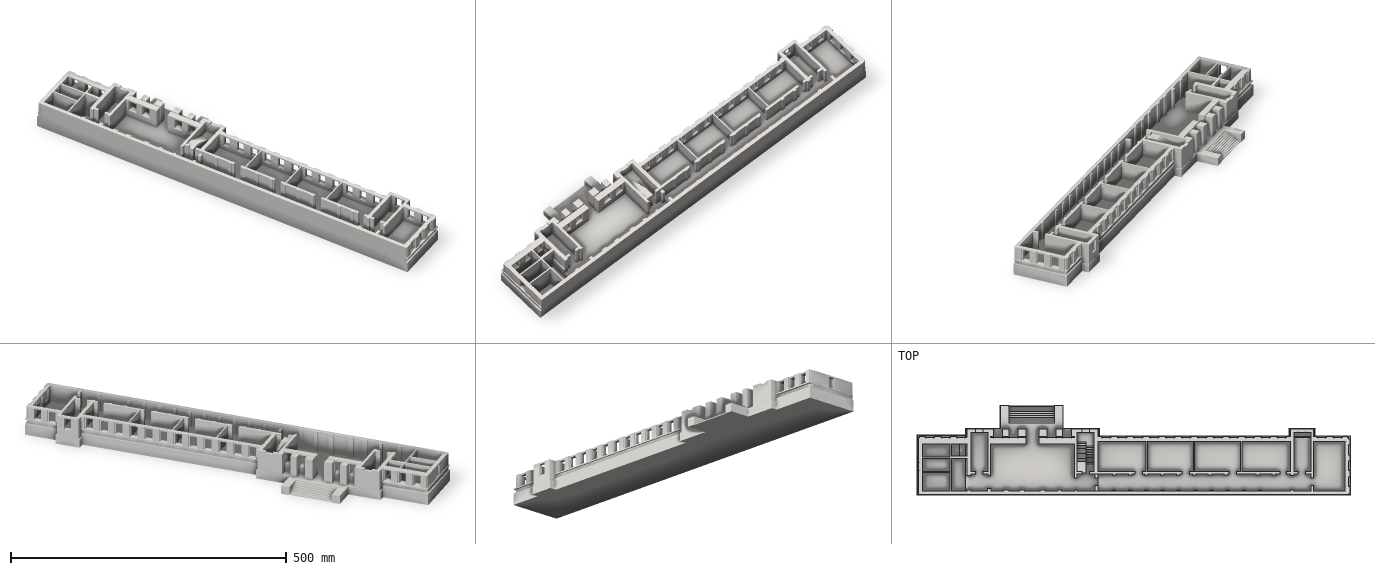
import cadquery as cq


LENGTH = 787.48
DEPTH = 162.8
HEIGHT = 56.5

HALL_FLOOR = 16.2
LEFT_FLOOR = 5.0
PLINTH_TOP = 22.3
RIGHT_FLOOR = PLINTH_TOP
LEDGE_BOTTOM = 29.6
LEDGE_TOP = 31.9
WINDOW_HEAD = 53.4

SOUTH_WALL_IN = 6.9
CORRIDOR_WALL = (38.0, 42.6)
NORTH_RECESS = 104.0
PILASTER_DEPTH = 2.0
NORTH_PILASTER = NORTH_RECESS + PILASTER_DEPTH
LEFT_PLINTH_NORTH = 108.6
RIGHT_PLINTH_NORTH = 107.2
HALL_NORTH_IN = 92.2
RIGHT_NORTH_IN = 97.0

BAY_WIDTH = 17.4
WINDOW_WIDTH = 13.4
LEFT_BAY_START = 15.0
LEFT_BAY_PITCH = 28.5
LEFT_BAY_COUNT = 3
RIGHT_BAY_START = 335.4
RIGHT_BAY_PITCH = 28.94
RIGHT_BAY_COUNT = 12
END_BAY_START = 726.6
END_BAY_PITCH = 28.5
END_BAY_COUNT = 2
EAST_BAY_START = 15.5
EAST_BAY_PITCH = 28.7
EAST_BAY_COUNT = 3

LEFT_WALL_OUT = 3.0
LEFT_LEDGE_WEST = 1.4
LEFT_PILASTER_START = 5.0
LEFT_WALL_IN = 10.7
WEST_WINDOW = (44.8, 59.0)
PARTITION = 2.4
LEFT_CROSS_X = 60.6
LEFT_CROSS_Y = (40.3, 66.2)
THICK_PARTITION = 4.7
CLOSET_X = 77.2
CLOSET_RISE = 5.0

HALL_WEST = 88.6
HALL_EAST = 331.2
HALL_CENTRE = (HALL_WEST + HALL_EAST) / 2
SLAB_NORTH = 120.7
TOWER_NORTH = 120.0
TOWER_NORTH_IN = 113.4
TOWER_SETBACK = 2.4
TOWER_WALL_OUTER = 7.0
TOWER_WALL_HALL = 4.8
TOWER_CLEAR = 31.0
DOOR_WIDTH = 14.0
DOOR_OFFSET = 8.4
WALL_END = 35.3
EAST_WALL_END = 31.0
PASSAGE_WALL = 5.6
PASSAGE_SOUTH = 17.0
PASSAGE_TOP = 50.0

ENTRANCE_HALF = 11.5
COLUMN_SOUTH = 106.0
END_PIER_OFFSET = 71.0
COLUMN_OFFSETS = ((ENTRANCE_HALF, 26.2), (42.6, 54.6))
PORTICO_WINDOW_OFFSETS = ((26.2, 42.6), (54.6, END_PIER_OFFSET))

STEP_CENTRE = 208.3
CHEEK_HALF = 57.2
STEP_HALF = 41.4
STEP_COUNT = 10
STEP_TREAD = 3.38
FIRST_STEP_Y = 161.3

FLIGHT_TREAD = 2.98
FLIGHT_RISER = 1.4
LOWER_RISERS = 12
UPPER_RISERS = 13
LOWER_FLIGHT_Y = 55.9
UPPER_FLIGHT_Y = 60.3
PLATFORM_SOUTH = 40.1
FLIGHT_SPLIT = 307.2

RIGHT_START = HALL_EAST - TOWER_SETBACK
EAST_RECESS = 784.0
NORTH_PILASTER_END = 782.0
EAST_PILASTER_ENDS = (2.1, 102.0)
EAST_WALL_IN = 776.9
CLASS_WALL_X = 416.4
CLASS_PITCH = 85.6
CLASS_COUNT = 3
CLASS_DOORS = ((395.8, 409.2), (481.2, 494.6), (566.8, 580.4), (659.2, 671.4))
EAST_TOWER = (678.0, 720.2)
EAST_TOWER_CLEAR = (684.5, 715.3)
EAST_TOWER_DOOR = (692.0, 705.6)
THRESHOLD_SOUTH = 104.0
THRESHOLD_NORTH = 106.0
THRESHOLD_TOP = (HALL_FLOOR + RIGHT_FLOOR) / 2

RIB_WIDTH = 6.5
RIB_DEPTH = 2.4
SOUTH_RIB_START = 354.4
SOUTH_RIB_PITCH = 29.5
SOUTH_RIB_COUNT = 10
CORRIDOR_RIB_DEPTH = 1.4
CORRIDOR_RIB_CENTRE = RIGHT_BAY_START + (BAY_WIDTH + RIGHT_BAY_PITCH) / 2
CORRIDOR_RIB_COUNT = 11
CORRIDOR_RIB_LEFT_OUT = 8
LAST_ROOM_RIB = 9
LAST_ROOM_RIB_DEPTH = 2.2
HALL_RIBS = ((91.3, 98.4), (157.5, 167.5), (186.2, 195.8), (224.0, 233.8), (255.0, 262.2),
             (285.8, 290.8))
DEEP_RIB_X = (128.0, 134.4)


def box(x, y, z):
    """Axis-aligned block from three (low, high) ranges."""
    size = [high - low for low, high in (x, y, z)]
    return cq.Workplane("XY").box(*size, centered=False).translate((x[0], y[0], z[0]))


def bays(start, pitch, count):
    """Ranges of evenly spaced window bays."""
    return [(start + i * pitch, start + i * pitch + BAY_WIDTH) for i in range(count)]


def windows(bay_ranges):
    """Window openings centred in the given bays."""
    margin = (BAY_WIDTH - WINDOW_WIDTH) / 2
    return [(low + margin, high - margin) for low, high in bay_ranges]


def between(ranges, low, high):
    """Ranges left between low and high once the given ranges are taken out."""
    edges = [low] + [edge for pair in ranges for edge in pair] + [high]
    return list(zip(edges[0::2], edges[1::2]))


def join(body, blocks):
    """Body with all blocks added."""
    return cq.Workplane(body.val().fuse(*[block.val() for block in blocks]))


def cut_all(body, blocks):
    """Body with all blocks removed."""
    return cq.Workplane(body.val().cut(*[block.val() for block in blocks]))


WALL_Z = (0, HEIGHT)
WINDOW_Z = (LEDGE_TOP, WINDOW_HEAD)
PILASTER_Z = (LEDGE_BOTTOM, HEIGHT)


def left_wing():
    """Outer shell of the left wing: plinth, ledge, pilasters, hollow inside and windows."""
    end = HALL_WEST + TOWER_SETBACK
    bay_x = bays(LEFT_BAY_START, LEFT_BAY_PITCH, LEFT_BAY_COUNT)
    outline_x = (0, HALL_WEST)
    plinth_y = (0, LEFT_PLINTH_NORTH)
    wing = box(outline_x, plinth_y, (0, PLINTH_TOP))
    wing = wing.union(box((LEFT_WALL_OUT, end), (0, NORTH_RECESS), WALL_Z))
    wing = wing.union(box((LEFT_LEDGE_WEST, HALL_WEST), plinth_y, (LEDGE_BOTTOM, LEDGE_TOP)))
    wing = join(wing, [box(x, (NORTH_RECESS, NORTH_PILASTER), PILASTER_Z)
                       for x in between(bay_x, LEFT_PILASTER_START, end)])
    room_y = (SOUTH_WALL_IN, HALL_NORTH_IN)
    wing = wing.cut(box((LEFT_WALL_IN, HALL_WEST), room_y, (LEFT_FLOOR, HEIGHT)))
    wing = wing.cut(box((HALL_WEST, end), room_y, (HALL_FLOOR, HEIGHT)))
    wing = cut_all(wing, [box(x, (HALL_NORTH_IN, NORTH_RECESS), WINDOW_Z)
                          for x in windows(bay_x)])
    return wing.cut(box((0, LEFT_WALL_IN), WEST_WINDOW, WINDOW_Z))


def left_partitions():
    """Partitions of the left wing, the raised closet floor and the ledge along the tower wall."""
    cross_end = LEFT_CROSS_X + PARTITION
    walls = box((LEFT_CROSS_X, cross_end), (SOUTH_WALL_IN, HALL_NORTH_IN), WALL_Z)
    for y in LEFT_CROSS_Y:
        walls = walls.union(box((LEFT_WALL_IN, LEFT_CROSS_X), (y, y + PARTITION), WALL_Z))
    thick_y = (LEFT_CROSS_Y[1], LEFT_CROSS_Y[1] + THICK_PARTITION)
    end = HALL_WEST + TOWER_SETBACK
    walls = walls.union(box((cross_end, end), thick_y, WALL_Z))
    closet = box((CLOSET_X, HALL_WEST), (thick_y[1], HALL_NORTH_IN), (0, LEFT_FLOOR + CLOSET_RISE))
    inner_ledge = box((HALL_WEST, end), (WALL_END, HALL_NORTH_IN), (0, LEDGE_BOTTOM))
    return walls.union(closet).union(inner_ledge)


def tower(outer_x, clear_x, door_x, floor):
    """Tower walls with a doorway to the corridor and a clear inside."""
    body = box(outer_x, (CORRIDOR_WALL[0], TOWER_NORTH), WALL_Z)
    body = body.cut(box(clear_x, (CORRIDOR_WALL[1], TOWER_NORTH_IN), (floor, HEIGHT)))
    return body.cut(box(door_x, CORRIDOR_WALL, (floor, HEIGHT)))


def hall_tower_ranges():
    """Outer, clear and door X ranges of the west hall tower."""
    outer = HALL_WEST + TOWER_SETBACK
    clear = (outer + TOWER_WALL_OUTER, outer + TOWER_WALL_OUTER + TOWER_CLEAR)
    door = clear[0] + DOOR_OFFSET
    return (outer, clear[1] + TOWER_WALL_HALL), clear, (door, door + DOOR_WIDTH)


def mirrored(x):
    """X range mirrored about the hall centre."""
    return (2 * HALL_CENTRE - x[1], 2 * HALL_CENTRE - x[0])


def hall_towers():
    """The two mirrored towers, their wall ends in the corridor and the passage piers."""
    west = hall_tower_ranges()
    east = [mirrored(x) for x in west]
    towers = tower(*west, HALL_FLOOR).union(tower(*east, HALL_FLOOR))
    for ranges in (west, east):
        towers = towers.cut(box(ranges[2], (TOWER_NORTH_IN, TOWER_NORTH), (WINDOW_HEAD, HEIGHT)))
    ends = [((west[0][0], west[1][0]), WALL_END), ((west[1][1], west[0][1]), WALL_END),
            ((east[0][0], east[1][0]), EAST_WALL_END)]
    towers = join(towers, [box(x, (y, CORRIDOR_WALL[0]), WALL_Z) for x, y in ends])
    passage_x = (RIGHT_START - PASSAGE_WALL, RIGHT_START)
    towers = towers.union(box(passage_x, (EAST_WALL_END, CORRIDOR_WALL[0]), (0, PASSAGE_TOP)))
    return towers.union(box(passage_x, (0, PASSAGE_SOUTH), (0, PASSAGE_TOP)))


def beside_entrance(offsets):
    """The two X ranges, west and east of the hall centre, given by (near, far) offsets."""
    east = (HALL_CENTRE + offsets[0], HALL_CENTRE + offsets[1])
    return [mirrored(east), east]


def portico():
    """Hall north walls with their windows, and the columns in front of them."""
    wall_y = (HALL_NORTH_IN, NORTH_RECESS)
    tower_edge = HALL_CENTRE - hall_tower_ranges()[0][1]
    wall_x = beside_entrance((ENTRANCE_HALF, tower_edge))
    window_x = [x for offsets in PORTICO_WINDOW_OFFSETS for x in beside_entrance(offsets)]
    column_offsets = COLUMN_OFFSETS + ((END_PIER_OFFSET, tower_edge),)
    column_x = [x for offsets in column_offsets for x in beside_entrance(offsets)]
    walls = join(box(wall_x[0], wall_y, WALL_Z), [box(wall_x[1], wall_y, WALL_Z)])
    walls = cut_all(walls, [box(x, wall_y, WINDOW_Z) for x in window_x])
    return join(walls, [box(x, (COLUMN_SOUTH, TOWER_NORTH), WALL_Z) for x in column_x])


def hall():
    """Hall floor slab and south wall with its ribs."""
    body = box((HALL_WEST, HALL_EAST), (0, SLAB_NORTH), (0, HALL_FLOOR))
    body = body.union(box((HALL_WEST, RIGHT_START), (0, SOUTH_WALL_IN), WALL_Z))
    body = join(body, [box(x, (0, SOUTH_WALL_IN + RIB_DEPTH), WALL_Z) for x in HALL_RIBS])
    return body.union(box(DEEP_RIB_X, (0, SOUTH_WALL_IN + 2 * RIB_DEPTH), WALL_Z))


def entrance_steps():
    """Porch with a broad stair between two cheek walls."""
    cheek_x = (STEP_CENTRE - CHEEK_HALF, STEP_CENTRE + CHEEK_HALF)
    step_x = (STEP_CENTRE - STEP_HALF, STEP_CENTRE + STEP_HALF)
    porch = box(cheek_x, (SLAB_NORTH, DEPTH), (0, HALL_FLOOR))
    last_step_y = FIRST_STEP_Y - (STEP_COUNT - 1) * STEP_TREAD
    porch = porch.cut(box(step_x, (last_step_y, DEPTH), (0, HALL_FLOOR)))
    riser = HALL_FLOOR / STEP_COUNT
    for i in range(STEP_COUNT):
        step_y = (SLAB_NORTH, FIRST_STEP_Y - i * STEP_TREAD)
        porch = porch.union(box(step_x, step_y, (0, (i + 1) * riser)))
    return porch


def tower_stairs():
    """Lower flight on the east side up to a north landing, upper flight back to a south platform."""
    clear = mirrored(hall_tower_ranges()[1])
    upper_x = (clear[0], FLIGHT_SPLIT)
    lower_x = (FLIGHT_SPLIT, clear[1])
    landing = HALL_FLOOR + LOWER_RISERS * FLIGHT_RISER
    landing_y = (UPPER_FLIGHT_Y + (UPPER_RISERS - 1) * FLIGHT_TREAD, TOWER_NORTH_IN)
    stairs = box(clear, landing_y, (0, landing))
    for i in range(LOWER_RISERS):
        step_y = (LOWER_FLIGHT_Y + i * FLIGHT_TREAD, TOWER_NORTH_IN)
        stairs = stairs.union(box(lower_x, step_y, (0, HALL_FLOOR + (i + 1) * FLIGHT_RISER)))
    for i in range(UPPER_RISERS):
        step_y = (PLATFORM_SOUTH, UPPER_FLIGHT_Y + (UPPER_RISERS - 1 - i) * FLIGHT_TREAD)
        stairs = stairs.union(box(upper_x, step_y, (0, landing + (i + 1) * FLIGHT_RISER)))
    return stairs


def right_wing():
    """Outer shell of the right wing, with pilasters and windows on the north and east walls."""
    main_bays = bays(RIGHT_BAY_START, RIGHT_BAY_PITCH, RIGHT_BAY_COUNT)
    end_bays = bays(END_BAY_START, END_BAY_PITCH, END_BAY_COUNT)
    north_bays = main_bays + end_bays
    east_bays = bays(EAST_BAY_START, EAST_BAY_PITCH, EAST_BAY_COUNT)
    east_pilaster = EAST_RECESS + PILASTER_DEPTH
    outline_x = (RIGHT_START, LENGTH)
    plinth_y = (0, RIGHT_PLINTH_NORTH)
    wing = box(outline_x, plinth_y, (0, PLINTH_TOP))
    wing = wing.union(box((RIGHT_START, EAST_RECESS), (0, NORTH_RECESS), WALL_Z))
    wing = wing.union(box(outline_x, plinth_y, (LEDGE_BOTTOM, LEDGE_TOP)))
    wing = join(wing, [box(x, (NORTH_RECESS, NORTH_PILASTER), PILASTER_Z)
                       for x in between(north_bays, RIGHT_START, NORTH_PILASTER_END)])
    wing = join(wing, [box((EAST_RECESS, east_pilaster), y, PILASTER_Z)
                       for y in between(east_bays, *EAST_PILASTER_ENDS)])
    room_y = (SOUTH_WALL_IN, RIGHT_NORTH_IN)
    wing = wing.cut(box((RIGHT_START, EAST_WALL_IN), room_y, (RIGHT_FLOOR, HEIGHT)))
    wing = cut_all(wing, [box(x, (RIGHT_NORTH_IN, NORTH_RECESS), WINDOW_Z)
                          for x in windows(north_bays)])
    return cut_all(wing, [box((EAST_WALL_IN, EAST_RECESS), y, WINDOW_Z)
                          for y in windows(east_bays)])


def classrooms():
    """Corridor wall with doors, walls between classrooms and the ribs along the corridor."""
    corridor = box((RIGHT_START, EAST_TOWER[0]), CORRIDOR_WALL, WALL_Z)
    corridor = cut_all(corridor, [box(x, CORRIDOR_WALL, (RIGHT_FLOOR, HEIGHT)) for x in CLASS_DOORS])
    for i in range(CLASS_COUNT):
        x = CLASS_WALL_X + i * CLASS_PITCH
        corridor = corridor.union(box((x, x + PARTITION), (CORRIDOR_WALL[1], RIGHT_NORTH_IN), WALL_Z))
    for i in range(SOUTH_RIB_COUNT):
        x = SOUTH_RIB_START + i * SOUTH_RIB_PITCH
        rib_y = (SOUTH_WALL_IN, SOUTH_WALL_IN + RIB_DEPTH)
        corridor = corridor.union(box((x, x + RIB_WIDTH), rib_y, (0, WINDOW_HEAD)))
    for i in range(CORRIDOR_RIB_COUNT):
        if i == CORRIDOR_RIB_LEFT_OUT:
            continue
        x = CORRIDOR_RIB_CENTRE + i * RIGHT_BAY_PITCH - RIB_WIDTH / 2
        depth = LAST_ROOM_RIB_DEPTH if i >= LAST_ROOM_RIB else CORRIDOR_RIB_DEPTH
        rib_y = (CORRIDOR_WALL[0] - depth, CORRIDOR_WALL[0])
        corridor = corridor.union(box((x, x + RIB_WIDTH), rib_y, WALL_Z))
    return corridor


def add_east_tower(body):
    """Adds the tower that stands across the north wall of the right wing."""
    slab_x = (EAST_TOWER[0] - TOWER_SETBACK, EAST_TOWER[1] + TOWER_SETBACK)
    body = body.union(box(slab_x, (CORRIDOR_WALL[1], SLAB_NORTH), (0, HALL_FLOOR)))
    body = body.union(box(EAST_TOWER, (CORRIDOR_WALL[0], TOWER_NORTH), WALL_Z))
    body = body.cut(box(EAST_TOWER_CLEAR, (CORRIDOR_WALL[1], TOWER_NORTH_IN), (RIGHT_FLOOR, HEIGHT)))
    body = body.cut(box(EAST_TOWER_CLEAR, (THRESHOLD_SOUTH, TOWER_NORTH_IN), (HALL_FLOOR, HEIGHT)))
    body = body.union(box(EAST_TOWER_CLEAR, (THRESHOLD_SOUTH, THRESHOLD_NORTH), (0, THRESHOLD_TOP)))
    body = body.cut(box(EAST_TOWER_DOOR, CORRIDOR_WALL, (RIGHT_FLOOR, HEIGHT)))
    body = body.cut(box(EAST_TOWER_DOOR, (TOWER_NORTH_IN, TOWER_NORTH), WINDOW_Z))
    west_x = (EAST_TOWER[0], EAST_TOWER_CLEAR[0])
    east_x = (EAST_TOWER_CLEAR[1], EAST_TOWER[1])
    return join(body, [box(west_x, (WALL_END, CORRIDOR_WALL[0]), WALL_Z),
                       box(east_x, (EAST_WALL_END, CORRIDOR_WALL[0]), WALL_Z),
                       box(east_x, (0, PASSAGE_SOUTH), WALL_Z),
                       box(west_x, (0, SOUTH_WALL_IN + RIB_DEPTH), WALL_Z)])


building = join(left_wing(), [left_partitions(), hall(), portico(), entrance_steps(), right_wing(),
                              classrooms(), hall_towers(), tower_stairs()])
result = add_east_tower(building).clean()